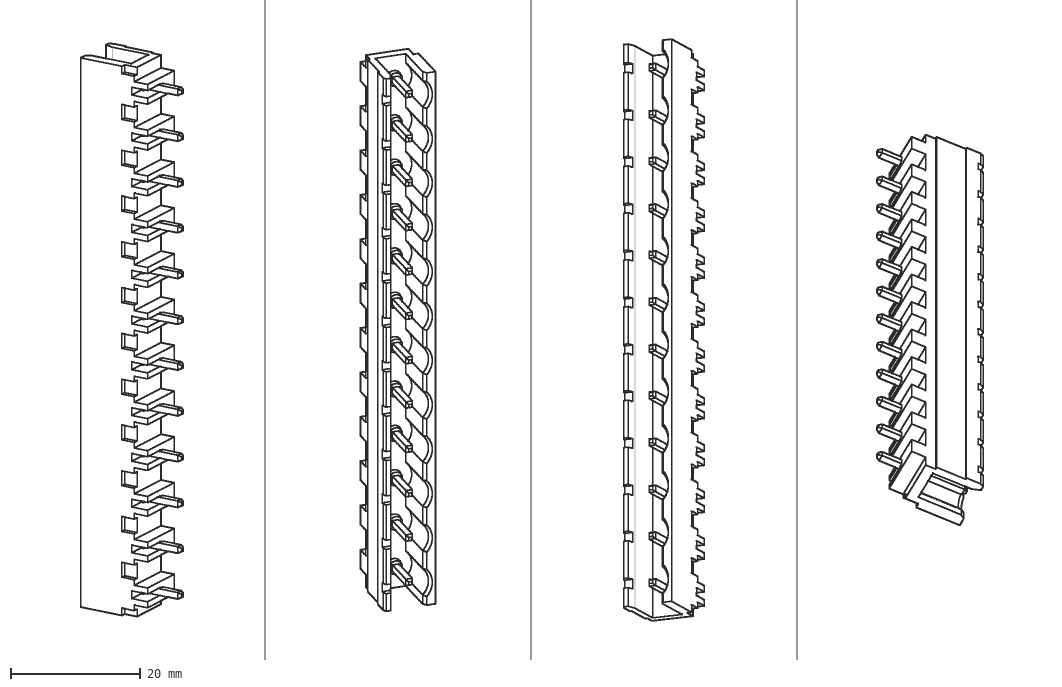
import cadquery as cq

length = 90.0
poles = 12
pitch = length / poles
back_face = 9.8
channel_floor = 8.1

plain_wall = 1.9
lip_thickness = 1.4
lip_length = 0.7

latch_inside = 6.9
latch_outside = 8.2
ridge_top = 8.5
ridge_end = 3.1
ridge_bevel = 0.6
mouth_bevel_length = 1.4
mouth_bevel_depth = 0.45
back_outside = 7.8

notch_width = 1.5
notch_depth = 1.0

relief_radius = 3.0
lip_relief_radius = 3.3

recess_width = 2.4
recess_depth = 0.8
recess_start = 7.6

foot_width = 3.2
foot_end = 12.2
slot_start = 9.4
slot_width = 1.3
housing_slot_depth = 2.7

pin_y = 3.9
pin_front = 0.8
pin_back = 16.2
pin_size = 1.1
tip_size = 0.5
tip_length = 0.5
collar_start = 7.3
collar_front_diameter = 2.25
collar_back_diameter = 2.4


def box(x0, x1, y0, y1, z_center, height):
    """Box between two X and two Y positions, centred in Z on z_center."""
    return (
        cq.Workplane("XY")
        .box(x1 - x0, y1 - y0, height, centered=(False, False, True))
        .translate((x0, y0, z_center))
    )


def housing():
    """Channel profile extruded over the full length."""
    profile = [
        (0, 0),
        (back_face, 0),
        (back_face, back_outside),
        (channel_floor, back_outside),
        (channel_floor, latch_outside),
        (ridge_end, latch_outside),
        (ridge_end, ridge_top),
        (ridge_bevel, ridge_top),
        (0, latch_outside),
        (0, latch_inside + mouth_bevel_depth),
        (mouth_bevel_length, latch_inside),
        (channel_floor, latch_inside),
        (channel_floor, plain_wall),
        (lip_length, plain_wall),
        (0, lip_thickness),
    ]
    return cq.Workplane("XY").polyline(profile).close().extrude(length)


def pin_relief(z):
    """Round relief along the channel, flared at the lip."""
    relief = cq.Workplane("YZ").center(pin_y, z).circle(relief_radius).extrude(channel_floor)
    flare = (
        cq.Workplane("YZ")
        .center(pin_y, z)
        .circle(lip_relief_radius)
        .workplane(offset=lip_length)
        .circle(relief_radius)
        .loft()
    )
    below_latch = box(0, channel_floor, 0, pin_y, z, pitch)
    return relief.union(flare).intersect(below_latch)


def mouth_notch(z):
    """Notch through the mouth of the latch wall."""
    return box(0, notch_depth, latch_inside, ridge_top, z, notch_width)


def foot(z):
    return box(back_face, foot_end, 0, back_outside, z, foot_width)


def foot_slot(z):
    """Slot from the -Y face: up to the pin axis in the foot, shallower in the housing."""
    in_foot = box(back_face, foot_end, 0, pin_y, z, slot_width)
    in_housing = box(slot_start, back_face, 0, housing_slot_depth, z, slot_width)
    return in_foot.union(in_housing)


def pin_tip(x, reach):
    """Tapered pin end starting at an X position; a negative reach points towards -X."""
    return (
        cq.Workplane("YZ", origin=(x, 0, 0))
        .rect(pin_size, pin_size)
        .workplane(offset=reach)
        .rect(tip_size, tip_size)
        .loft()
    )


def pin(z):
    """Square pin with tapered ends and a round collar on the channel floor."""
    collar_profile = [
        (collar_start, 0),
        (collar_start, collar_front_diameter / 2),
        (channel_floor, collar_back_diameter / 2),
        (channel_floor, 0),
    ]
    collar = (
        cq.Workplane("XY").polyline(collar_profile).close().revolve(360, (0, 0, 0), (1, 0, 0))
    )
    half = pin_size / 2
    shank_start = pin_front + tip_length
    shank_end = pin_back - tip_length
    shank = box(shank_start, shank_end, -half, half, 0, pin_size)
    front_tip = pin_tip(shank_start, -tip_length)
    back_tip = pin_tip(shank_end, tip_length)
    return collar.union(shank).union(front_tip).union(back_tip).translate((0, pin_y, z))


result = housing()

for i in range(poles + 1):
    result = result.cut(box(recess_start, back_face, 0, recess_depth, i * pitch, recess_width))

for i in range(poles):
    pole_z = (i + 0.5) * pitch
    result = result.cut(pin_relief(pole_z)).cut(mouth_notch(pole_z))
    result = result.union(foot(pole_z)).cut(foot_slot(pole_z)).union(pin(pole_z))